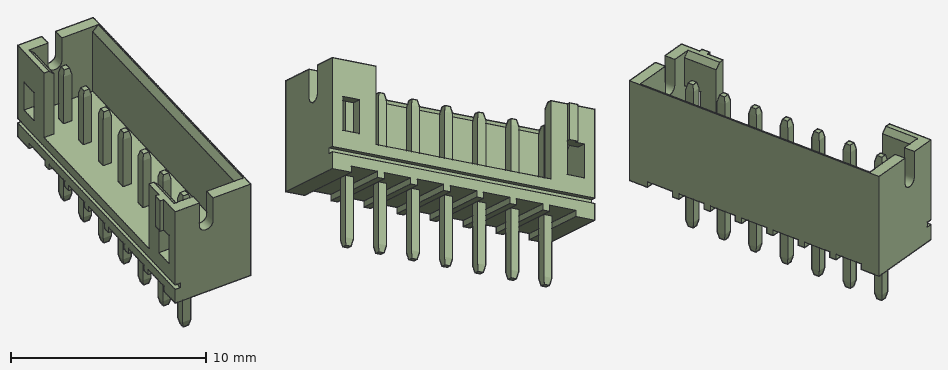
import cadquery as cq

length = 15.9
depth = 4.5
height = 6.0
floor_top = 1.76
side_wall = 0.64
back_wall = 0.41
front_wall = 0.6

back_lead_in = 0.33
front_lead_in = 0.3

pin_count = 7
pin_pitch = 2.0
pin_width = 0.5
pin_tip_width = 0.32
pin_taper = 0.38
pin_below_housing = 3.4
pin_below_rim = 0.8
pin_to_back = 2.81

front_panel_length = 2.65
window_width = 1.02
window_bottom = 2.18
window_top = 4.0
end_slot_width = 0.81
end_slot_depth = 1.91

key_width = 0.5
key_projection = 0.2
groove_bottom = 0.9
groove_height = 0.29
groove_depth = 0.3
foot_height = 0.33
foot_width = 0.41

half_length = length / 2
pin_y = depth - pin_to_back
pin_xs = [(i - (pin_count - 1) / 2) * pin_pitch for i in range(pin_count)]


def block(x_range, y_range, z_range):
    """Box spanning the given (low, high) ranges."""
    lows, highs = zip(x_range, y_range, z_range)
    sizes = [high - low for low, high in zip(lows, highs)]
    return cq.Workplane("XY").box(*sizes, centered=False).translate(lows)


def mating_cavity():
    """Space inside the walls, flaring outwards at the rims of the front and back walls."""
    back_y = depth - back_wall
    profile = [
        (front_wall, floor_top),
        (back_y, floor_top),
        (back_y, height - back_lead_in),
        (back_y + back_lead_in, height),
        (front_wall - front_lead_in, height),
        (front_wall, height - front_lead_in),
    ]
    cavity_length = length - 2 * side_wall
    return cq.Workplane("YZ").polyline(profile).close().extrude(cavity_length / 2, both=True)


def end_slots():
    """Round-bottomed slots down both end walls, their front side flush with the pins."""
    radius = end_slot_width / 2
    slot_y = pin_y - pin_width / 2 + radius
    arc_z = height - end_slot_depth + radius
    straight = block((-half_length, half_length), (slot_y - radius, slot_y + radius), (arc_z, height))
    round_bottom = cq.Workplane("YZ").center(slot_y, arc_z).circle(radius).extrude(half_length, both=True)
    return straight.union(round_bottom)


def front_opening():
    """Gap between the two front panels, down to the cavity floor."""
    half_gap = half_length - front_panel_length
    return block((-half_gap, half_gap), (0, front_wall), (floor_top, height))


def front_windows():
    """Windows through the front panels, starting at the inner faces of the end walls."""
    outer = half_length - side_wall
    inner = outer - window_width
    y_range = (0, front_wall)
    z_range = (window_bottom, window_top)
    return block((-outer, -inner), y_range, z_range).union(block((inner, outer), y_range, z_range))


def front_groove():
    return block(
        (-half_length, half_length), (0, groove_depth), (groove_bottom, groove_bottom + groove_height)
    )


def underside_channels():
    """Channels from front to back beneath each pin, leaving feet in between."""
    half_channel = (pin_pitch - foot_width) / 2
    channels = cq.Workplane("XY")
    for x in pin_xs:
        channels = channels.union(block((x - half_channel, x + half_channel), (0, depth), (0, foot_height)))
    return channels


def polarizing_key():
    """Rib from the top of the right-hand window up to the rim."""
    left = half_length - side_wall - window_width
    return block((left, left + key_width), (-key_projection, front_lead_in), (window_top, height))


def pin(x):
    """Square pin with a tapered tip at both ends."""
    bottom = -pin_below_housing
    top = height - pin_below_rim
    shank_bottom = bottom + pin_taper
    shank_top = top - pin_taper

    def tip(shank_end, tip_end):
        return (
            cq.Workplane("XY", origin=(x, pin_y, shank_end))
            .rect(pin_width, pin_width)
            .workplane(offset=tip_end - shank_end)
            .rect(pin_tip_width, pin_tip_width)
            .loft()
        )

    half = pin_width / 2
    shank = block((x - half, x + half), (pin_y - half, pin_y + half), (shank_bottom, shank_top))
    return shank.union(tip(shank_bottom, bottom)).union(tip(shank_top, top))


housing = block((-half_length, half_length), (0, depth), (0, height))
housing = housing.cut(mating_cavity()).cut(end_slots()).cut(front_opening()).cut(front_windows())
housing = housing.cut(front_groove()).cut(underside_channels()).union(polarizing_key())

result = housing
for x in pin_xs:
    result = result.union(pin(x))